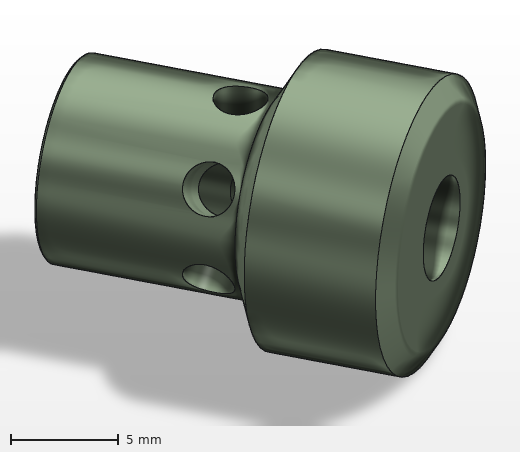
import cadquery as cq
import math

length = 18.29
body_diameter = 14.28
nose_diameter = 9.99
bore_diameter = nose_diameter / 2

nose_length = 9.91
nose_chamfer = 0.13
rear_chamfer_length = 0.65
rear_edge_fillet = 0.5
cone_angle = 60.0

flow_hole_diameter = 2.55
flow_hole_count = 6
flow_hole_position = 8.38

body_radius = body_diameter / 2
nose_radius = nose_diameter / 2
bore_radius = bore_diameter / 2
cone_slope = math.tan(math.radians(cone_angle))
shoulder_length = (body_radius - nose_radius) / cone_slope
rear_face_radius = body_radius - rear_chamfer_length * cone_slope


def turned_body():
    """Revolve the half section about the X axis, leaving the bore open, and round the rear rim."""
    half_section = (
        cq.Workplane("XY")
        .moveTo(0, bore_radius)
        .lineTo(0, nose_radius - nose_chamfer)
        .lineTo(nose_chamfer, nose_radius)
        .lineTo(nose_length, nose_radius)
        .lineTo(nose_length + shoulder_length, body_radius)
        .lineTo(length - rear_chamfer_length, body_radius)
        .lineTo(length, rear_face_radius)
        .lineTo(length, bore_radius)
        .close()
    )
    body = half_section.revolve(360, (0, 0, 0), (1, 0, 0))
    rear_rim = cq.selectors.RadiusNthSelector(-1)
    return body.faces(">X").edges(rear_rim).fillet(rear_edge_fillet)


def flow_hole(angle):
    """Radial drill from the axis outward, turned from +Z about the X axis."""
    drill = (
        cq.Workplane("XY")
        .center(flow_hole_position, 0)
        .circle(flow_hole_diameter / 2)
        .extrude(body_radius)
    )
    return drill.rotate((0, 0, 0), (1, 0, 0), angle)


result = turned_body()
for index in range(flow_hole_count):
    result = result.cut(flow_hole(index * 360 / flow_hole_count))